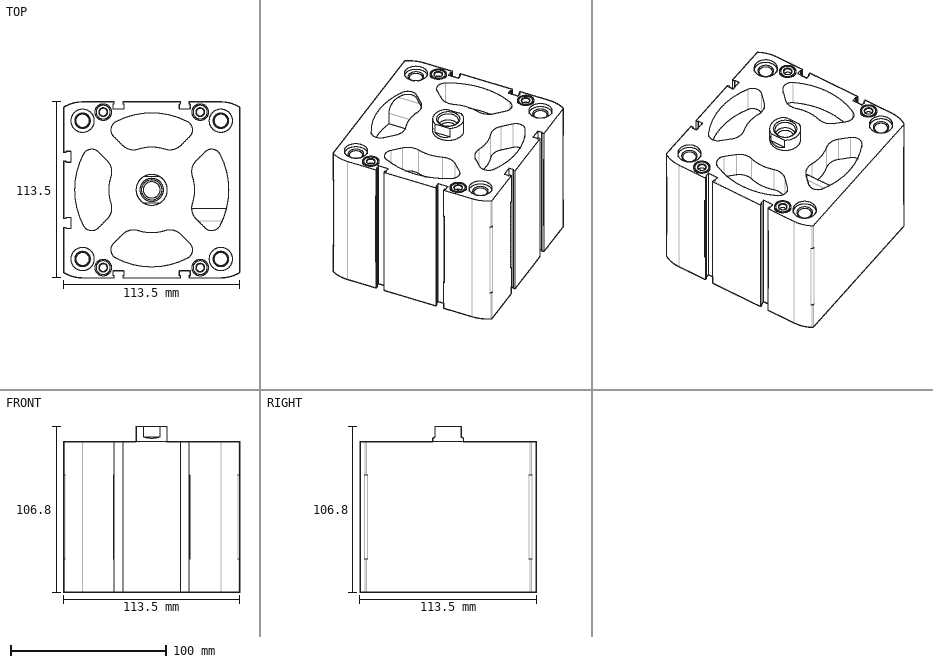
import cadquery as cq
import math

WIDTH = 113.5
HALF = WIDTH / 2
TOTAL_HEIGHT = 106.8
ROD_PROTRUSION = 9.8
HOUSING_HEIGHT = TOTAL_HEIGHT - ROD_PROTRUSION
CAP_HEIGHT = 21.6
TUBE_HEIGHT = HOUSING_HEIGHT - 2 * CAP_HEIGHT

CORNER_ARC_RADIUS = 23.2
CORNER_ARC_START = 44.5
CAP_EDGE_RADIUS = 1.0
TUBE_EDGE_RADIUS = 2.0

SLOT_OFFSET = 21.3
SLOT_MOUTH = 5.6
SLOT_WIDTH = 6.9
SLOT_DEPTH = 4.7
SLOT_LIP = 1.6
SLOT_LIP_CHAMFER = 0.5
SLOT_SIDE_ANGLES = (0, 90, 180)

MOUNT_SPACING = 2 * CORNER_ARC_START
MOUNT_HOLE_DIAMETER = 8.5
MOUNT_CHAMFER_DIAMETER = 10.0
MOUNT_COUNTERBORE_DIAMETER = 15.0
MOUNT_COUNTERBORE_DEPTH = 2.5

SCREW_SPACING_X = 62.4
SCREW_SPACING_Y = 100.1
SCREW_HEAD_DIAMETER = 10.7
SCREW_CROWN_DIAMETER = 9.0
SOCKET_DIAMETER = 5.0
SOCKET_CHAMFER_DIAMETER = 5.7
SOCKET_DEPTH = 3.4

POCKET_OUTER_RADIUS = 49.6
POCKET_INNER_RADIUS = 27.6
POCKET_WEDGE_TIP = 9.9
POCKET_INNER_FILLET = 10.0
POCKET_OUTER_FILLET = 6.0
POCKET_DEPTH = 19.3
PLAIN_POCKET_ANGLES = (0, 90, 180)
SHOULDER_POCKET_ANGLE = -90

SHOULDER_AXIS_Y = -20.1
SHOULDER_RADIUS = 8.2
SHOULDER_TOP_DEPTH = 2.5

ROD_DIAMETER = 20.0
ROD_ACROSS_FLATS = 17.0
ROD_FLAT_LENGTH = 6.8
ROD_FLAT_RUNOUT_ANGLE = 30.0
ROD_BORE_DIAMETER = 10.7
ROD_BORE_DEPTH = 18.2
ROD_COUNTERBORE_DIAMETER = 13.0
ROD_COUNTERBORE_DEPTH = 6.0
ROD_MOUTH_DIAMETER = 15.0
ROD_SEAT_DEPTH = CAP_HEIGHT

DRILL_TIP_HALF_ANGLE = 59.0


def drill_tip(radius):
    """Height of the conical end of a drilled hole."""
    return radius / math.tan(math.radians(DRILL_TIP_HALF_ANGLE))


def turned(shape, angle):
    """Shape turned about the Z axis by an angle in degrees."""
    return shape.rotate((0, 0, 0), (0, 0, 1), angle)


def revolved(profile):
    """Solid of revolution about the Z axis from a profile of (radius, height) points."""
    return cq.Workplane("XZ").polyline(profile).close().revolve(360, (0, 0), (0, 1))


def block(edge_radius, bottom, height):
    """Square block whose corners are eased by a large arc and a small edge radius."""
    run = HALF - CORNER_ARC_START
    center_y = HALF - CORNER_ARC_RADIUS
    corner_y = center_y + math.sqrt(CORNER_ARC_RADIUS**2 - run**2)
    half_run = run / 2
    mid_x = CORNER_ARC_START + half_run
    mid_y = center_y + math.sqrt(CORNER_ARC_RADIUS**2 - half_run**2)
    return (
        cq.Workplane("XY", origin=(0, 0, bottom))
        .moveTo(-CORNER_ARC_START, HALF)
        .lineTo(CORNER_ARC_START, HALF)
        .threePointArc((mid_x, mid_y), (HALF, corner_y))
        .lineTo(HALF, -corner_y)
        .threePointArc((mid_x, -mid_y), (CORNER_ARC_START, -HALF))
        .lineTo(-CORNER_ARC_START, -HALF)
        .threePointArc((-mid_x, -mid_y), (-HALF, -corner_y))
        .lineTo(-HALF, corner_y)
        .threePointArc((-mid_x, mid_y), (-CORNER_ARC_START, HALF))
        .close()
        .extrude(height)
        .edges("|Z and (<X or >X)")
        .fillet(edge_radius)
    )


def side_slot(side):
    """T-slot in the +Y side at -X or +X (side -1 or 1), its outer lip chamfered along the tube."""
    x = side * SLOT_OFFSET
    channel_depth = SLOT_DEPTH - SLOT_LIP
    channel_y = HALF - SLOT_LIP - channel_depth / 2
    lip_edge = x + side * SLOT_MOUTH / 2

    mouth = (
        cq.Workplane("XY")
        .center(x, HALF - SLOT_DEPTH / 2)
        .rect(SLOT_MOUTH, SLOT_DEPTH)
        .extrude(HOUSING_HEIGHT)
    )
    channel = (
        cq.Workplane("XY")
        .center(x, channel_y)
        .rect(SLOT_WIDTH, channel_depth)
        .extrude(HOUSING_HEIGHT)
    )
    lip_chamfer = (
        cq.Workplane("XY", origin=(0, 0, CAP_HEIGHT))
        .moveTo(lip_edge, HALF)
        .lineTo(lip_edge + side * SLOT_LIP_CHAMFER, HALF)
        .lineTo(lip_edge, HALF - SLOT_LIP_CHAMFER)
        .close()
        .extrude(TUBE_HEIGHT)
    )
    return mouth.union(channel).union(lip_chamfer)


def mounting_hole():
    """Counterbored, chamfered through hole, as a tool on the Z axis."""
    hole_radius = MOUNT_HOLE_DIAMETER / 2
    chamfer_radius = MOUNT_CHAMFER_DIAMETER / 2
    counterbore_radius = MOUNT_COUNTERBORE_DIAMETER / 2
    seat = HOUSING_HEIGHT - MOUNT_COUNTERBORE_DEPTH
    profile = [
        (0, 0),
        (hole_radius, 0),
        (hole_radius, seat - (chamfer_radius - hole_radius)),
        (chamfer_radius, seat),
        (counterbore_radius, seat),
        (counterbore_radius, HOUSING_HEIGHT),
        (0, HOUSING_HEIGHT),
    ]
    return revolved(profile)


def screw_recess():
    """Groove around the chamfered screw head and its drilled socket, as a tool on the Z axis."""
    head_radius = SCREW_HEAD_DIAMETER / 2
    crown_radius = SCREW_CROWN_DIAMETER / 2
    socket_radius = SOCKET_DIAMETER / 2
    socket_mouth_radius = SOCKET_CHAMFER_DIAMETER / 2
    top = HOUSING_HEIGHT
    socket_bottom = top - SOCKET_DEPTH
    groove = [
        (crown_radius, top),
        (head_radius, top),
        (head_radius, top - (head_radius - crown_radius)),
    ]
    socket = [
        (0, top),
        (socket_mouth_radius, top),
        (socket_radius, top - (socket_mouth_radius - socket_radius)),
        (socket_radius, socket_bottom),
        (0, socket_bottom - drill_tip(socket_radius)),
    ]
    return revolved(groove).union(revolved(socket))


def pocket():
    """Pocket on the +Y side: a ring sector between two 45 degree walls, with rounded corners."""
    floor = HOUSING_HEIGHT - POCKET_DEPTH
    ring = (
        cq.Workplane("XY", origin=(0, 0, floor))
        .circle(POCKET_OUTER_RADIUS)
        .circle(POCKET_INNER_RADIUS)
        .extrude(POCKET_DEPTH)
    )
    wedge = (
        cq.Workplane("XY", origin=(0, 0, floor))
        .moveTo(0, POCKET_WEDGE_TIP)
        .lineTo(HALF, POCKET_WEDGE_TIP + HALF)
        .lineTo(-HALF, POCKET_WEDGE_TIP + HALF)
        .close()
        .extrude(POCKET_DEPTH)
    )
    sector = ring.intersect(wedge)
    inner_rounded = sector.edges("|Z").edges("<Y").fillet(POCKET_INNER_FILLET)
    return inner_rounded.edges("|Z and (<X or >X)").fillet(POCKET_OUTER_FILLET)


def shoulder():
    """Raised end of the +X pocket floor, rounded along its inner edge."""
    top = HOUSING_HEIGHT - SHOULDER_TOP_DEPTH
    floor = HOUSING_HEIGHT - POCKET_DEPTH
    inner_edge = SHOULDER_AXIS_Y + SHOULDER_RADIUS
    return (
        cq.Workplane("YZ")
        .moveTo(-HALF, floor)
        .lineTo(inner_edge, floor)
        .lineTo(inner_edge, top - SHOULDER_RADIUS)
        .radiusArc((SHOULDER_AXIS_Y, top), -SHOULDER_RADIUS)
        .lineTo(-HALF, top)
        .close()
        .extrude(HALF)
    )


def rod_seat():
    """Blind bore in the top cap that holds the rod."""
    return (
        cq.Workplane("XY", origin=(0, 0, HOUSING_HEIGHT - ROD_SEAT_DEPTH))
        .circle(ROD_DIAMETER / 2)
        .extrude(ROD_SEAT_DEPTH)
    )


def make_housing():
    body = block(CAP_EDGE_RADIUS, 0, CAP_HEIGHT)
    body = body.union(block(TUBE_EDGE_RADIUS, CAP_HEIGHT, TUBE_HEIGHT))
    body = body.union(block(CAP_EDGE_RADIUS, CAP_HEIGHT + TUBE_HEIGHT, CAP_HEIGHT))

    for angle in SLOT_SIDE_ANGLES:
        for side in (-1, 1):
            body = body.cut(turned(side_slot(side), angle))

    for side_x in (-1, 1):
        for side_y in (-1, 1):
            mount_place = (side_x * MOUNT_SPACING / 2, side_y * MOUNT_SPACING / 2, 0)
            screw_place = (side_x * SCREW_SPACING_X / 2, side_y * SCREW_SPACING_Y / 2, 0)
            body = body.cut(mounting_hole().translate(mount_place))
            body = body.cut(screw_recess().translate(screw_place))

    for angle in PLAIN_POCKET_ANGLES:
        body = body.cut(turned(pocket(), angle))
    shoulder_pocket = turned(pocket(), SHOULDER_POCKET_ANGLE).cut(shoulder())
    return body.cut(shoulder_pocket).cut(rod_seat())


def rod_flat():
    """Wrench flat on the +Y side of the rod, with a sloped run-out at its foot."""
    flat_y = ROD_ACROSS_FLATS / 2
    rim_y = ROD_DIAMETER / 2
    foot = TOTAL_HEIGHT - ROD_FLAT_LENGTH
    rim_drop = (rim_y - flat_y) * math.tan(math.radians(ROD_FLAT_RUNOUT_ANGLE))
    profile = [
        (flat_y, TOTAL_HEIGHT),
        (flat_y, foot),
        (rim_y, foot - rim_drop),
        (rim_y, TOTAL_HEIGHT),
    ]
    return cq.Workplane("YZ").polyline(profile).close().extrude(rim_y, both=True)


def rod_bore():
    """Stepped blind bore in the rod end: chamfered mouth, counterbore, bore and drill tip."""
    bore_radius = ROD_BORE_DIAMETER / 2
    counterbore_radius = ROD_COUNTERBORE_DIAMETER / 2
    mouth_radius = ROD_MOUTH_DIAMETER / 2
    step = TOTAL_HEIGHT - ROD_COUNTERBORE_DEPTH
    bottom = TOTAL_HEIGHT - ROD_BORE_DEPTH
    profile = [
        (0, TOTAL_HEIGHT),
        (mouth_radius, TOTAL_HEIGHT),
        (counterbore_radius, TOTAL_HEIGHT - (mouth_radius - counterbore_radius)),
        (counterbore_radius, step),
        (bore_radius, step - (counterbore_radius - bore_radius)),
        (bore_radius, bottom),
        (0, bottom - drill_tip(bore_radius)),
    ]
    return revolved(profile)


def make_rod():
    body = (
        cq.Workplane("XY", origin=(0, 0, HOUSING_HEIGHT - ROD_SEAT_DEPTH))
        .circle(ROD_DIAMETER / 2)
        .extrude(ROD_SEAT_DEPTH + ROD_PROTRUSION)
        .cut(rod_bore())
    )
    for angle in (0, 180):
        body = body.cut(turned(rod_flat(), angle))
    return body


housing = make_housing()
rod = make_rod()

result = cq.Compound.makeCompound([housing.val(), rod.val()])